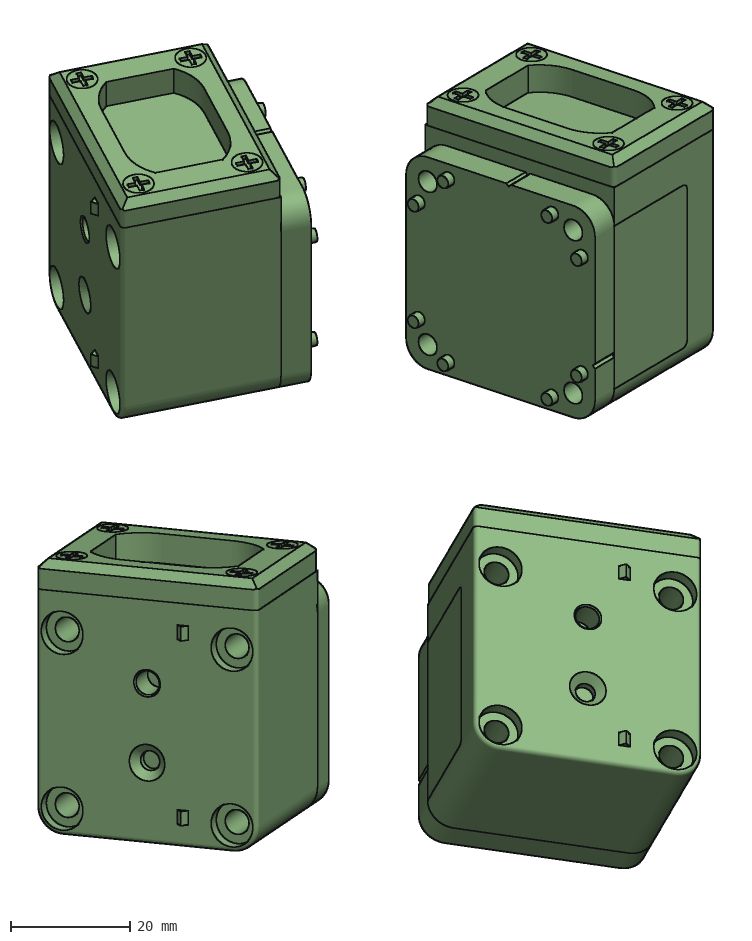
import cadquery as cq


WIDTH = 39.6
HALF_WIDTH = WIDTH / 2
OVERALL_HEIGHT = 47.35
BOTTOM_Z = -HALF_WIDTH
TOP_Z = BOTTOM_Z + OVERALL_HEIGHT
EDGE_RADIUS = 0.8

MOUNT_OFFSET = 15.25
CORNER_RADIUS = HALF_WIDTH - MOUNT_OFFSET
MOUNT_RADIUS = 2.15
COUNTERBORE_RADIUS = 3.75
COUNTERBORE_DEPTH = 2.4

HOUSING_DEPTH = 28.1
FRONT_Y = -HOUSING_DEPTH
MID_Y = FRONT_Y / 2
PORT_Z = 7.95
PORT_RADIUS = 2.1
PORT_CHAMFER = 0.3
PORT_DEPTH = 5.7
SINK_Z = -5.8
SINK_OUTER_RADIUS = 3.15
SINK_RADIUS = 1.7
SINK_HOLE_DEPTH = 2.85
RIDGE_HEIGHT = 1.0
RIDGE_LENGTH = 2.45
RIDGE_X = 6.4
RIDGE_ZS = (17.35, -14.65)

LID_HEIGHT = 5.1
LID_CHAMFER = 1.5
LID_BOTTOM_Z = TOP_Z - LID_HEIGHT
WINDOW_WIDTH = 26.5
WINDOW_DEPTH = 18.17
WINDOW_FLAT = 12.75

SCREW_X = MOUNT_OFFSET
SCREW_Y = 9.55
SCREW_RADIUS = 2.6
SCREW_HEIGHT = 1.9
CROSS_LENGTH = 3.7
CROSS_WIDTH = 0.8
CROSS_DEPTH = 0.7

PANEL_HEIGHT = 2 * MOUNT_OFFSET
PANEL_DEPTH = 20.35
PANEL_THICKNESS = 0.95
PANEL_RADIUS = 1.25

PLATE_THICKNESS = 5.35
PLATE_HOLE_RADIUS = 1.95
PIN_FAR = 17.1
PIN_NEAR = 10.9
PIN_RADIUS = 1.25
PIN_LENGTH = 1.6
PIN_CHAMFER_LENGTH = 0.4
PIN_CHAMFER_WIDTH = 0.1
NOTCH_DEPTH = 0.45
TOP_NOTCH_X = -1.7
SIDE_NOTCH_Z = -8.85

MOUNT_POINTS = [(x, z) for x in (-MOUNT_OFFSET, MOUNT_OFFSET) for z in (-MOUNT_OFFSET, MOUNT_OFFSET)]
SCREW_POINTS = [(x, MID_Y + y) for x in (-SCREW_X, SCREW_X) for y in (-SCREW_Y, SCREW_Y)]


def depth_plane(y):
    """Workplane at depth y with local x = X, local y = Z, extruding toward -Y."""
    return cq.Workplane("XZ", origin=(0, y, 0))


def cylinders(points, radius, start_y, length):
    """Cylinders along -Y from start_y at the given (x, z) points."""
    return depth_plane(start_y).pushPoints(points).circle(radius).extrude(length)


def make_panel():
    outline = (
        cq.Workplane("YZ", origin=(-HALF_WIDTH, 0, 0))
        .center(-PANEL_DEPTH / 2, 0)
        .rect(PANEL_DEPTH, PANEL_HEIGHT)
        .extrude(PANEL_THICKNESS)
    )
    return outline.edges("|X and <Y").fillet(PANEL_RADIUS)


def make_ridge(z):
    """Upright index ridge of triangular section on the front face."""
    return (
        cq.Workplane("XY", origin=(RIDGE_X, FRONT_Y, z - RIDGE_LENGTH / 2))
        .moveTo(-RIDGE_HEIGHT, 0)
        .lineTo(0, -RIDGE_HEIGHT)
        .lineTo(RIDGE_HEIGHT, 0)
        .close()
        .extrude(RIDGE_LENGTH)
    )


def make_port():
    """Blind round port with a chamfered mouth."""
    bore = cylinders([(0, PORT_Z)], PORT_RADIUS, FRONT_Y + PORT_DEPTH, PORT_DEPTH)
    return bore.union(make_cone(PORT_Z, PORT_RADIUS, PORT_RADIUS + PORT_CHAMFER))


def make_countersink():
    """Blind round hole with a wide countersink."""
    bore = cylinders([(0, SINK_Z)], SINK_RADIUS, FRONT_Y + SINK_HOLE_DEPTH, SINK_HOLE_DEPTH)
    return bore.union(make_cone(SINK_Z, SINK_RADIUS, SINK_OUTER_RADIUS))


def make_cone(z, inner_radius, outer_radius):
    """45 degree cone that opens onto the front face."""
    cone = cq.Solid.makeCone(
        outer_radius, inner_radius, outer_radius - inner_radius, cq.Vector(0, FRONT_Y, z), cq.Vector(0, 1, 0)
    )
    return cq.Workplane(cone)


def make_housing(panel):
    height = LID_BOTTOM_Z - BOTTOM_Z
    block = depth_plane(0).center(0, BOTTOM_Z + height / 2).rect(WIDTH, height).extrude(HOUSING_DEPTH)
    block = block.edges("|Y and <Z").fillet(CORNER_RADIUS)
    block = block.faces("<Y").edges("not >Z").fillet(EDGE_RADIUS)
    block = block.cut(cylinders(MOUNT_POINTS, MOUNT_RADIUS, 0, HOUSING_DEPTH))
    counterbore_floor_y = FRONT_Y + COUNTERBORE_DEPTH
    block = block.cut(cylinders(MOUNT_POINTS, COUNTERBORE_RADIUS, counterbore_floor_y, COUNTERBORE_DEPTH))
    block = block.cut(make_port())
    block = block.cut(make_countersink())
    block = block.cut(panel)
    for z in RIDGE_ZS:
        block = block.union(make_ridge(z))
    return block


def make_lid():
    base = cq.Workplane("XY", origin=(0, MID_Y, LID_BOTTOM_Z))
    block = base.rect(WIDTH, HOUSING_DEPTH).extrude(LID_HEIGHT).faces(">Z").chamfer(LID_CHAMFER)
    rounded = base.rect(WIDTH, HOUSING_DEPTH).extrude(LID_HEIGHT).edges("|Z").fillet(EDGE_RADIUS)
    slot = base.slot2D(WINDOW_FLAT + WINDOW_DEPTH, WINDOW_DEPTH).extrude(LID_HEIGHT)
    window = base.rect(WINDOW_WIDTH, WINDOW_DEPTH).extrude(LID_HEIGHT).intersect(slot)
    seats = (
        cq.Workplane("XY", origin=(0, 0, TOP_Z - SCREW_HEIGHT))
        .pushPoints(SCREW_POINTS)
        .circle(SCREW_RADIUS)
        .extrude(SCREW_HEIGHT)
    )
    return block.intersect(rounded).cut(window).cut(seats)


def make_screw(x, y):
    """Flush screw head with a cross recess."""
    head = cq.Workplane("XY", origin=(x, y, TOP_Z - SCREW_HEIGHT)).circle(SCREW_RADIUS).extrude(SCREW_HEIGHT)
    recess_plane = cq.Workplane("XY", origin=(x, y, TOP_Z - CROSS_DEPTH))
    head = head.cut(recess_plane.rect(CROSS_LENGTH, CROSS_WIDTH).extrude(CROSS_DEPTH))
    return head.cut(recess_plane.rect(CROSS_WIDTH, CROSS_LENGTH).extrude(CROSS_DEPTH))


def make_notch(x, z):
    """V groove across the plate rim, as a square bar along Y standing on its corner."""
    side = NOTCH_DEPTH * 2**0.5
    bar = depth_plane(PLATE_THICKNESS).rect(side, side).extrude(PLATE_THICKNESS)
    return bar.rotate((0, 0, 0), (0, 1, 0), 45).translate((x, 0, z))


def make_pin(x, z):
    """Locating pin on the back face, slightly tapered at its tip."""
    pin = cylinders([(x, z)], PIN_RADIUS, PLATE_THICKNESS + PIN_LENGTH, PIN_LENGTH)
    return pin.faces(">Y").chamfer(PIN_CHAMFER_LENGTH, PIN_CHAMFER_WIDTH)


def make_back_plate():
    plate = depth_plane(PLATE_THICKNESS).rect(WIDTH, WIDTH).extrude(PLATE_THICKNESS)
    plate = plate.edges("|Y").fillet(CORNER_RADIUS)
    plate = plate.cut(cylinders(MOUNT_POINTS, PLATE_HOLE_RADIUS, PLATE_THICKNESS, PLATE_THICKNESS))
    plate = plate.cut(make_notch(TOP_NOTCH_X, HALF_WIDTH)).cut(make_notch(-HALF_WIDTH, SIDE_NOTCH_Z))
    for side_x in (-1, 1):
        for side_z in (-1, 1):
            plate = plate.union(make_pin(side_x * PIN_FAR, side_z * PIN_NEAR))
            plate = plate.union(make_pin(side_x * PIN_NEAR, side_z * PIN_FAR))
    return plate


side_panel = make_panel()
housing = make_housing(side_panel)
lid = make_lid()
screws = [make_screw(x, y) for x, y in SCREW_POINTS]
back_plate = make_back_plate()

result = cq.Compound.makeCompound(
    [housing.val(), side_panel.val(), lid.val(), *[screw.val() for screw in screws], back_plate.val()]
)